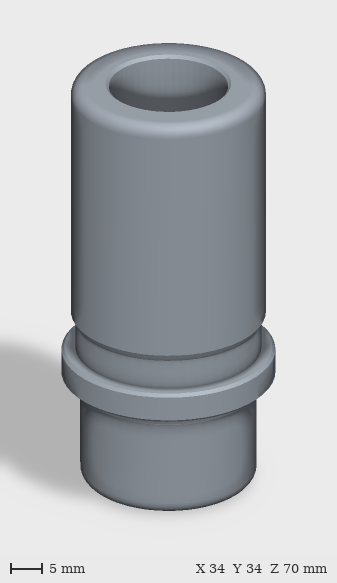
import cadquery as cq

total_length = 70.0
collar_bottom = 18.0
collar_height = 5.05
collar_top = collar_bottom + collar_height
head_groove_height = 5.0
head_taper_height = 1.25
head_groove_top = collar_top + head_groove_height
head_bottom = head_groove_top + head_taper_height
undercut_height = 1.9
spigot_top = collar_bottom - undercut_height

collar_diameter = 34.0
head_diameter = 31.0
head_groove_diameter = 29.6
spigot_diameter = 28.1
undercut_diameter = 26.4
bore_diameter = 19.0

end_fillet = 2.0
collar_chamfer = 0.5
bore_chamfer = 0.5


def make_body():
    """Solid turned body: spigot, tapered undercut, collar, groove and head."""
    profile = [
        (0, 0),
        (spigot_diameter / 2, 0),
        (spigot_diameter / 2, spigot_top),
        (undercut_diameter / 2, collar_bottom),
        (collar_diameter / 2, collar_bottom),
        (collar_diameter / 2, collar_top),
        (head_groove_diameter / 2, collar_top),
        (head_groove_diameter / 2, head_groove_top),
        (head_diameter / 2, head_bottom),
        (head_diameter / 2, total_length),
        (0, total_length),
    ]
    axis_start = (0, 0)
    axis_end = (0, 1)
    return cq.Workplane("XZ").polyline(profile).close().revolve(360, axis_start, axis_end)


def round_ends(body):
    """Round the outer edges of both end faces."""
    return body.faces("<Z or >Z").edges().fillet(end_fillet)


def chamfer_collar(body):
    """Break the two outer edges of the collar."""
    collar_edges = cq.selectors.RadiusNthSelector(-1)
    return body.edges(collar_edges).chamfer(collar_chamfer)


def cut_bore(body):
    """Cut the through bore and chamfer both of its mouths."""
    bore = cq.Workplane("XY").circle(bore_diameter / 2).extrude(total_length)
    mouth_edges = cq.selectors.RadiusNthSelector(0)
    return body.cut(bore).faces("<Z or >Z").edges(mouth_edges).chamfer(bore_chamfer)


result = cut_bore(chamfer_collar(round_ends(make_body())))